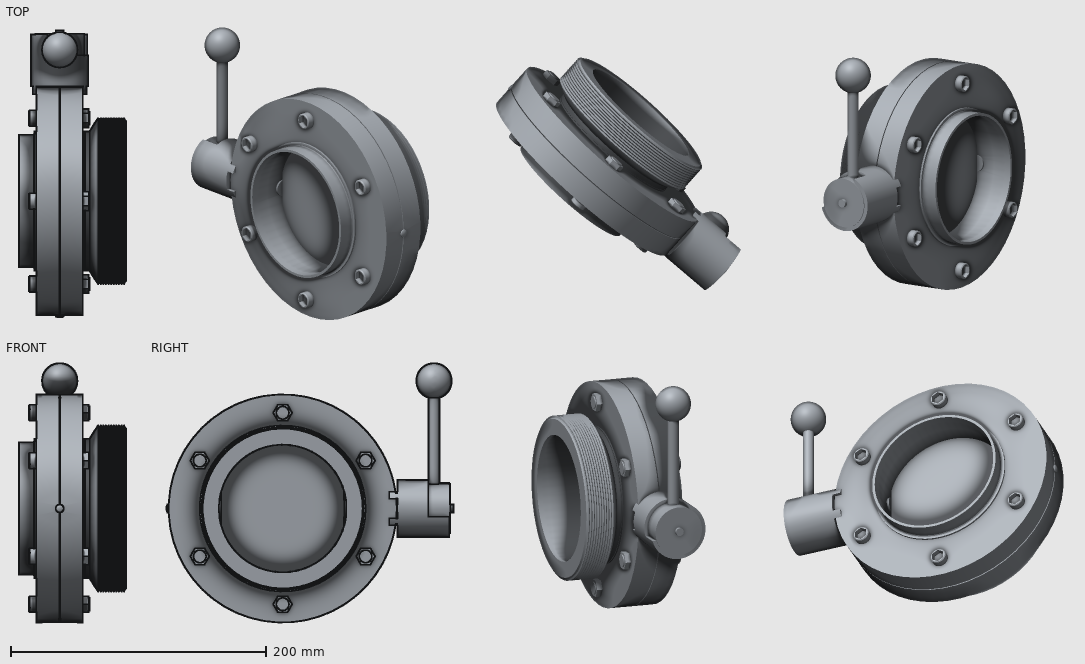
import cadquery as cq
import math


FLANGE_RADIUS = 89.5
FLANGE_FACE_X = 18.2
SEAM_GAP = 1.0
SEAM_FLOOR_RADIUS = 86.5
BORE_RADIUS = 50.0
COLLAR_RADIUS = 54.7
COLLAR_HEIGHT = 1.5

PIPE_RADIUS = 52.0
PIPE_END_X = -32.0
PIPE_WELD = 0.7

THREAD_END_X = 52.0
THREAD_PITCH = 2.0
THREAD_DEPTH = 1.4
THREAD_COUNT = 11
THREAD_RADIUS = 65.0
FIRST_CREST_X = 30.2
NECK_GROOVE_WIDTH = 0.7
NECK_GROOVE_RADIUS = 54
NECK_COLLAR_HEIGHT = 1.1
CONE_START_X = 23.5
CONE_END_X = 29.0
THREAD_END_CHAMFER = 1.1

BOLT_COUNT = 6
BOLT_CIRCLE_RADIUS = 75.0
HEAD_RADIUS = 6.3
HEAD_HEIGHT = 5.9
HEAD_CHAMFER = 0.7
SOCKET_WIDTH = 9.2
SOCKET_DEPTH = 4.5
SOCKET_TURN = 30
NUT_WIDTH = 12.8
NUT_HEIGHT = 4.5
NUT_TURN = 0
BOLT_END_RADIUS = 5.0
BOLT_END_HEIGHT = 5.5

DISC_THICKNESS = 2.3
DISC_FLAT_Y = 48.2
JOURNAL_RADIUS = 6.5
JOURNAL_OUTER_Y = 81
STEM_RADIUS = 3.2
STEM_LOW_Y = -91.2
DOME_HEIGHT = 1.0
STEM_HIGH_Y = 134.0

SLEEVE_RADIUS = 22.5
SLEEVE_LOW_Y = 90.0
SLEEVE_HIGH_Y = 130.7
TOOTH_TIP_Y = 83.5
TOOTH_INNER_Z = 7.7
TOOTH_OUTER_Z = 13.3
SLOT_LOW_Y = 114.2
SLOT_WALL_X = -9.7
SLOT_WALL_Z = -6.3

CORE_RADIUS = 19.4
CORE_HIGH_Y = 131.3
LEVER_DIAMETER = 8.8
LEVER_Y = SLOT_LOW_Y + LEVER_DIAMETER / 2
BALL_RADIUS = 14.0
BALL_Z = 100.0


def cylinder_x(radius, start, end, y=0, z=0):
    return cq.Workplane("YZ", origin=(start, y, z)).circle(radius).extrude(end - start)


def cylinder_y(radius, start, end):
    return cq.Workplane("XZ", origin=(0, start, 0)).circle(radius).extrude(start - end)


def hexagon_x(width, start, end, y, z, turn):
    """Hexagonal prism along X; with no turn its corners point along Y."""
    across_corners = width / math.cos(math.radians(30))
    plane = cq.Workplane("YZ", origin=(start, y, z)).transformed(rotate=(0, 0, turn))
    return plane.polygon(6, across_corners).extrude(end - start)


def revolve_x(points):
    """Turn an outline of (x, radius) points about the X axis."""
    return cq.Workplane("XY").polyline(points).close().revolve(360, (0, 0, 0), (1, 0, 0))


def bolt_places():
    for index in range(BOLT_COUNT):
        angle = 2 * math.pi * index / BOLT_COUNT
        yield BOLT_CIRCLE_RADIUS * math.sin(angle), BOLT_CIRCLE_RADIUS * math.cos(angle)


def stem_shape():
    """Stem along Y with a journal on each side of the disc and a domed low end."""
    dome_base_y = STEM_LOW_Y + DOME_HEIGHT
    sphere_radius = (STEM_RADIUS**2 + DOME_HEIGHT**2) / (2 * DOME_HEIGHT)
    dome = (
        cq.Workplane("XY", origin=(0, STEM_LOW_Y + sphere_radius, 0))
        .sphere(sphere_radius)
        .intersect(cylinder_y(STEM_RADIUS, STEM_LOW_Y, dome_base_y))
    )
    stem = cylinder_y(STEM_RADIUS, dome_base_y, STEM_HIGH_Y).union(dome)
    for side in (-1, 1):
        stem = stem.union(cylinder_y(JOURNAL_RADIUS, side * DISC_FLAT_Y, side * JOURNAL_OUTER_Y))
    return stem


def make_pipe_flange():
    rim_x = -SEAM_GAP / 2
    collar_x = -FLANGE_FACE_X - COLLAR_HEIGHT
    flange = revolve_x([
        (0, BORE_RADIUS),
        (0, SEAM_FLOOR_RADIUS),
        (rim_x, SEAM_FLOOR_RADIUS),
        (rim_x, FLANGE_RADIUS),
        (-FLANGE_FACE_X, FLANGE_RADIUS),
        (-FLANGE_FACE_X, COLLAR_RADIUS),
        (collar_x, COLLAR_RADIUS),
        (collar_x, PIPE_RADIUS + PIPE_WELD),
        (collar_x - PIPE_WELD, PIPE_RADIUS),
        (PIPE_END_X, PIPE_RADIUS),
        (PIPE_END_X, BORE_RADIUS),
    ])
    head_x = -FLANGE_FACE_X - HEAD_HEIGHT
    for y, z in bolt_places():
        head = cylinder_x(HEAD_RADIUS, head_x, -FLANGE_FACE_X, y, z).faces("<X").chamfer(HEAD_CHAMFER)
        socket = hexagon_x(SOCKET_WIDTH, head_x, head_x + SOCKET_DEPTH, y, z, SOCKET_TURN)
        flange = flange.union(head.cut(socket))
    return flange.cut(stem_shape())


def thread_outline():
    """Points of the V-shaped ridges, from the first crest to the last."""
    points = []
    for index in range(THREAD_COUNT):
        crest_x = FIRST_CREST_X + index * THREAD_PITCH
        if index > 0:
            points.append((crest_x - THREAD_PITCH / 2, THREAD_RADIUS - THREAD_DEPTH))
        points.append((crest_x, THREAD_RADIUS))
    return points


def make_threaded_flange():
    rim_x = SEAM_GAP / 2
    collar_x = FLANGE_FACE_X + NECK_COLLAR_HEIGHT
    root_radius = THREAD_RADIUS - THREAD_DEPTH
    flange = revolve_x([
        (0, BORE_RADIUS),
        (0, SEAM_FLOOR_RADIUS),
        (rim_x, SEAM_FLOOR_RADIUS),
        (rim_x, FLANGE_RADIUS),
        (FLANGE_FACE_X, FLANGE_RADIUS),
        (FLANGE_FACE_X, COLLAR_RADIUS),
        (collar_x, COLLAR_RADIUS),
        (collar_x, NECK_GROOVE_RADIUS),
        (collar_x + NECK_GROOVE_WIDTH, NECK_GROOVE_RADIUS),
        (collar_x + NECK_GROOVE_WIDTH, COLLAR_RADIUS),
        (CONE_START_X, COLLAR_RADIUS),
        (CONE_END_X, root_radius),
        *thread_outline(),
        (THREAD_END_X - THREAD_END_CHAMFER, root_radius),
        (THREAD_END_X, root_radius - THREAD_END_CHAMFER),
        (THREAD_END_X, BORE_RADIUS),
    ])
    for y, z in bolt_places():
        nut = hexagon_x(NUT_WIDTH, FLANGE_FACE_X, FLANGE_FACE_X + NUT_HEIGHT, y, z, NUT_TURN)
        bolt_end = cylinder_x(BOLT_END_RADIUS, FLANGE_FACE_X, FLANGE_FACE_X + BOLT_END_HEIGHT, y, z)
        flange = flange.union(nut).union(bolt_end)
    return flange.cut(stem_shape())


def make_disc():
    plate = cylinder_x(BORE_RADIUS, -DISC_THICKNESS / 2, DISC_THICKNESS / 2)
    flats = cq.Workplane("XY").box(DISC_THICKNESS, 2 * DISC_FLAT_Y, 2 * BORE_RADIUS)
    plate = plate.intersect(flats)
    middle = cylinder_y(STEM_RADIUS, -DISC_FLAT_Y, DISC_FLAT_Y)
    return plate.union(stem_shape().cut(middle))


def make_sleeve():
    sleeve = cylinder_y(SLEEVE_RADIUS, SLEEVE_LOW_Y, SLEEVE_HIGH_Y)
    sleeve = sleeve.cut(cylinder_y(CORE_RADIUS, SLEEVE_LOW_Y, SLEEVE_HIGH_Y))

    slot = (
        cq.Workplane("XY")
        .box(2 * SLEEVE_RADIUS, SLEEVE_HIGH_Y - SLOT_LOW_Y, 2 * SLEEVE_RADIUS, centered=False)
        .translate((SLOT_WALL_X, SLOT_LOW_Y, SLOT_WALL_Z))
    )
    sleeve = sleeve.cut(slot)

    tooth_stock = cylinder_y(SLEEVE_RADIUS, TOOTH_TIP_Y, SLEEVE_LOW_Y)
    for side_x in (-1, 1):
        for side_z in (-1, 1):
            center_x = side_x * (FLANGE_FACE_X + SLEEVE_RADIUS) / 2
            center_z = side_z * (TOOTH_INNER_Z + TOOTH_OUTER_Z) / 2
            tooth_bounds = (
                cq.Workplane("XY")
                .box(SLEEVE_RADIUS - FLANGE_FACE_X, 2 * SLEEVE_LOW_Y, TOOTH_OUTER_Z - TOOTH_INNER_Z)
                .translate((center_x, 0, center_z))
            )
            sleeve = sleeve.union(tooth_stock.intersect(tooth_bounds))
    return sleeve


def make_handle():
    core = cylinder_y(CORE_RADIUS, SLEEVE_LOW_Y, CORE_HIGH_Y)
    lever = cq.Workplane("XY", origin=(0, LEVER_Y, 0)).circle(LEVER_DIAMETER / 2).extrude(BALL_Z)
    ball = cq.Workplane("XY").sphere(BALL_RADIUS).translate((0, LEVER_Y, BALL_Z))
    return core.union(lever).union(ball).cut(stem_shape())


pipe_flange = make_pipe_flange().solids()
threaded_flange = make_threaded_flange().solids()
disc = make_disc().solids()
sleeve = make_sleeve().solids()
handle = make_handle().solids()

result = cq.Compound.makeCompound(
    [pipe_flange.val(), threaded_flange.val(), disc.val(), sleeve.val(), handle.val()]
)